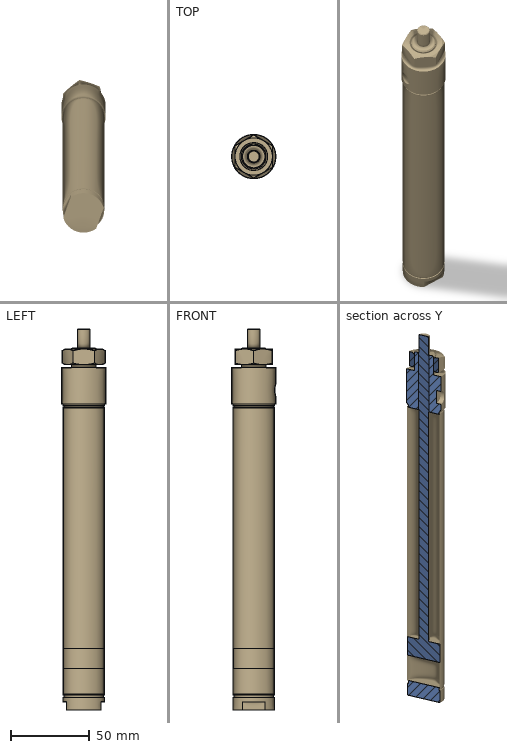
import cadquery as cq
import math

total_length = 244.4

tube_diameter = 26.6
bore_diameter = 25.7
collar_diameter = 28.3
groove_diameter = 25.5
bore_bottom = 10.3
bore_top = 193.5
collar_bottom = 196.2
collar_top = 219.5
upper_groove_bottom = 194.3
upper_groove_width = 1.0
lower_groove_bottom = 8.3
lower_groove_width = 1.5
flat_height = 5.4
across_end_flats = 22.2
port_diameter = 8.3
port_depth = 3.7
port_height = 205.0

neck_diameter = 16.0
neck_top = 232.1
neck_chamfer = 0.7

nut_bottom = 221.5
nut_height = 10.0
nut_top = nut_bottom + nut_height
nut_across_flats = 24.0
nut_across_corners = nut_across_flats / math.cos(math.pi / 6)
nut_bevel_angle = math.radians(30)
nut_hole_chamfer = 1.0

rod_diameter = 8.0
rod_chamfer = 0.5
piston_bottom = 27.0
piston_height = 12.7


def cylinder(diameter, bottom, top):
    """Solid cylinder on the Z axis between two heights."""
    return cq.Workplane("XY").workplane(offset=bottom).circle(diameter / 2).extrude(top - bottom)


def ring_groove(bottom, width):
    """Ring of material to cut from the outside of the tube."""
    return cylinder(collar_diameter, bottom, bottom + width).cut(
        cylinder(groove_diameter, bottom, bottom + width)
    )


def end_flat(side):
    """Block that cuts a wrench flat on the +Y or -Y side of the bottom end."""
    return cq.Workplane("XY").center(0, side * across_end_flats).box(
        tube_diameter, across_end_flats, flat_height, centered=(True, True, False)
    )


def make_housing():
    body = cylinder(tube_diameter, 0, collar_bottom)
    body = body.union(cylinder(collar_diameter, collar_bottom, collar_top))
    neck = cylinder(neck_diameter, collar_top, neck_top).faces(">Z").chamfer(neck_chamfer)
    body = body.union(neck)
    body = body.cut(ring_groove(upper_groove_bottom, upper_groove_width))
    body = body.cut(ring_groove(lower_groove_bottom, lower_groove_width))
    for side in (-1, 1):
        body = body.cut(end_flat(side))
    port = (
        cq.Workplane("YZ", origin=(collar_diameter / 2 - port_depth, 0, port_height))
        .circle(port_diameter / 2)
        .extrude(port_depth)
    )
    body = body.cut(port)
    body = body.cut(cylinder(bore_diameter, bore_bottom, bore_top))
    return body.cut(cylinder(rod_diameter, bore_top, neck_top))


def make_rod():
    rod = cylinder(rod_diameter, piston_bottom, total_length).faces(">Z").chamfer(rod_chamfer)
    piston = cylinder(bore_diameter, piston_bottom, piston_bottom + piston_height)
    return rod.union(piston)


def make_nut():
    hexagon = (
        cq.Workplane("XY")
        .workplane(offset=nut_bottom)
        .transformed(rotate=(0, 0, 90))
        .polygon(6, nut_across_corners)
        .extrude(nut_height)
    )
    corner_reach = (nut_across_corners - nut_across_flats) / 2
    bevel_height = corner_reach * math.tan(nut_bevel_angle)
    blank = (
        cq.Workplane("XZ")
        .moveTo(0, nut_bottom)
        .lineTo(nut_across_flats / 2, nut_bottom)
        .lineTo(nut_across_corners / 2, nut_bottom + bevel_height)
        .lineTo(nut_across_corners / 2, nut_top - bevel_height)
        .lineTo(nut_across_flats / 2, nut_top)
        .lineTo(0, nut_top)
        .close()
        .revolve(360, (0, 0), (0, 1))
    )
    nut = hexagon.intersect(blank).cut(cylinder(neck_diameter, nut_bottom, nut_top))
    return nut.faces("<Z or >Z").edges("%CIRCLE").edges(
        cq.selectors.RadiusNthSelector(0)
    ).chamfer(nut_hole_chamfer)


housing = make_housing()
rod = make_rod()
nut = make_nut()

result = cq.Compound.makeCompound([housing.val(), rod.val(), nut.val()])